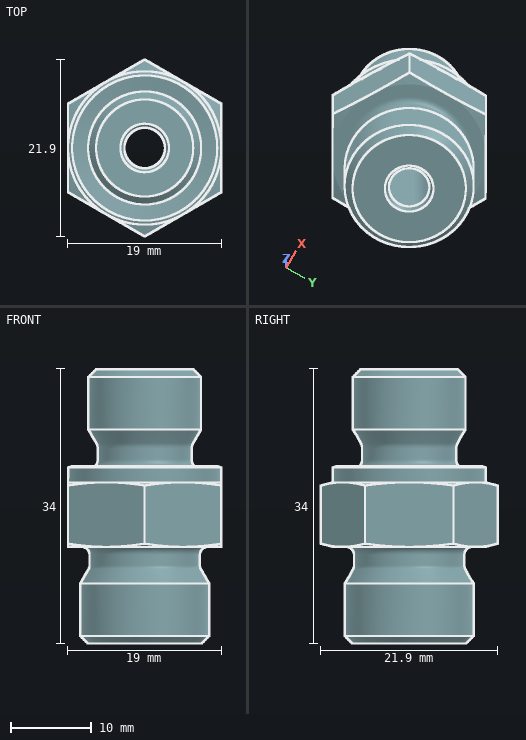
import cadquery as cq
import math

TOTAL_HEIGHT = 34.0
HEX_BOTTOM = 12.0
HEX_TOP = 20.0
COLLAR_TOP = 22.0
STUD_LENGTH = 7.45

ACROSS_FLATS = 19.0
COLLAR_RADIUS = ACROSS_FLATS / 2
LOWER_STUD_RADIUS = 16.0 / 2
LOWER_NECK_RADIUS = 13.7 / 2
UPPER_STUD_RADIUS = 14.0 / 2
UPPER_NECK_RADIUS = 11.7 / 2
BORE_RADIUS = 5.0 / 2

STUD_CHAMFER = 1.0
BORE_CHAMFER = 0.5
RUNOUT_ANGLE = math.radians(30)
HEX_CHAMFER_ANGLE = math.radians(15)
LOWER_RUNOUT_FILLET = 0.8
UPPER_RUNOUT_FILLET = 1.2
LOWER_NECK_FILLET = 1.0
SEAT_FILLET = 1.12

RIM_WIDTH = 0.5
RIM_DROP = 0.17
SEAT_ANGLE = math.radians(10)


def add_rounded_corner(profile, before, corner, after, radius):
    """Run the profile to a corner and round it with a tangent arc."""
    corner = cq.Vector(*corner)
    back = (cq.Vector(*before) - corner).normalized()
    ahead = (cq.Vector(*after) - corner).normalized()
    half_angle = back.getAngle(ahead) / 2
    setback = radius / math.tan(half_angle)
    bisector = (back + ahead).normalized()
    start = corner + back * setback
    middle = corner + bisector * (radius / math.sin(half_angle) - radius)
    end = corner + ahead * setback
    return profile.lineTo(start.x, start.y).threePointArc(middle.toTuple()[:2], end.toTuple()[:2])


def make_turned_body():
    """Both studs, their necks and the collar, revolved about Z."""
    lower_runout = (LOWER_STUD_RADIUS - LOWER_NECK_RADIUS) / math.tan(RUNOUT_ANGLE)
    upper_runout = (UPPER_STUD_RADIUS - UPPER_NECK_RADIUS) / math.tan(RUNOUT_ANGLE)
    rim_radius = COLLAR_RADIUS - RIM_WIDTH
    seat_depth = (rim_radius - UPPER_NECK_RADIUS) * math.tan(SEAT_ANGLE)

    lower_shoulder = (LOWER_STUD_RADIUS, STUD_LENGTH)
    lower_neck_start = (LOWER_NECK_RADIUS, STUD_LENGTH + lower_runout)
    lower_neck_end = (LOWER_NECK_RADIUS, HEX_BOTTOM)
    hex_base = (COLLAR_RADIUS, HEX_BOTTOM)
    rim = (rim_radius, COLLAR_TOP)
    seat_bottom = (UPPER_NECK_RADIUS, COLLAR_TOP - seat_depth)
    upper_neck_end = (UPPER_NECK_RADIUS, TOTAL_HEIGHT - STUD_LENGTH - upper_runout)
    upper_shoulder = (UPPER_STUD_RADIUS, TOTAL_HEIGHT - STUD_LENGTH)

    profile = (
        cq.Workplane("XZ")
        .lineTo(LOWER_STUD_RADIUS - STUD_CHAMFER, 0)
        .lineTo(LOWER_STUD_RADIUS, STUD_CHAMFER)
        .lineTo(*lower_shoulder)
    )
    profile = add_rounded_corner(
        profile, lower_shoulder, lower_neck_start, lower_neck_end, LOWER_RUNOUT_FILLET
    )
    profile = add_rounded_corner(
        profile, lower_neck_start, lower_neck_end, hex_base, LOWER_NECK_FILLET
    )
    profile = (
        profile.lineTo(*hex_base)
        .lineTo(COLLAR_RADIUS, COLLAR_TOP - RIM_DROP)
        .lineTo(*rim)
    )
    profile = add_rounded_corner(profile, rim, seat_bottom, upper_neck_end, SEAT_FILLET)
    profile = add_rounded_corner(
        profile, seat_bottom, upper_neck_end, upper_shoulder, UPPER_RUNOUT_FILLET
    )
    profile = (
        profile.lineTo(*upper_shoulder)
        .lineTo(UPPER_STUD_RADIUS, TOTAL_HEIGHT - STUD_CHAMFER)
        .lineTo(UPPER_STUD_RADIUS - STUD_CHAMFER, TOTAL_HEIGHT)
        .lineTo(0, TOTAL_HEIGHT)
        .close()
    )
    return profile.revolve(360, (0, 0), (0, 1))


def make_hexagon():
    """Hexagon with flats facing +X and -X and its corners chamfered at both ends."""
    corner_radius = COLLAR_RADIUS / math.cos(math.pi / 6)
    corner_drop = (corner_radius - COLLAR_RADIUS) * math.tan(HEX_CHAMFER_ANGLE)
    prism = (
        cq.Workplane("XY", origin=(0, 0, HEX_BOTTOM))
        .polygon(6, 2 * corner_radius)
        .extrude(HEX_TOP - HEX_BOTTOM)
        .rotate((0, 0, 0), (0, 0, 1), 30)
    )
    overrun = 2.0
    envelope_radius = COLLAR_RADIUS + overrun * (corner_radius - COLLAR_RADIUS)
    envelope_drop = overrun * corner_drop
    envelope = (
        cq.Workplane("XZ")
        .moveTo(0, HEX_BOTTOM)
        .lineTo(COLLAR_RADIUS, HEX_BOTTOM)
        .lineTo(envelope_radius, HEX_BOTTOM + envelope_drop)
        .lineTo(envelope_radius, HEX_TOP - envelope_drop)
        .lineTo(COLLAR_RADIUS, HEX_TOP)
        .lineTo(0, HEX_TOP)
        .close()
        .revolve(360, (0, 0), (0, 1))
    )
    return prism.intersect(envelope)


def make_bore():
    """Through bore with a 45-degree chamfer at each mouth."""
    mouth_radius = BORE_RADIUS + BORE_CHAMFER
    return (
        cq.Workplane("XZ")
        .lineTo(mouth_radius, 0)
        .lineTo(BORE_RADIUS, BORE_CHAMFER)
        .lineTo(BORE_RADIUS, TOTAL_HEIGHT - BORE_CHAMFER)
        .lineTo(mouth_radius, TOTAL_HEIGHT)
        .lineTo(0, TOTAL_HEIGHT)
        .close()
        .revolve(360, (0, 0), (0, 1))
    )


result = make_turned_body().union(make_hexagon()).cut(make_bore())